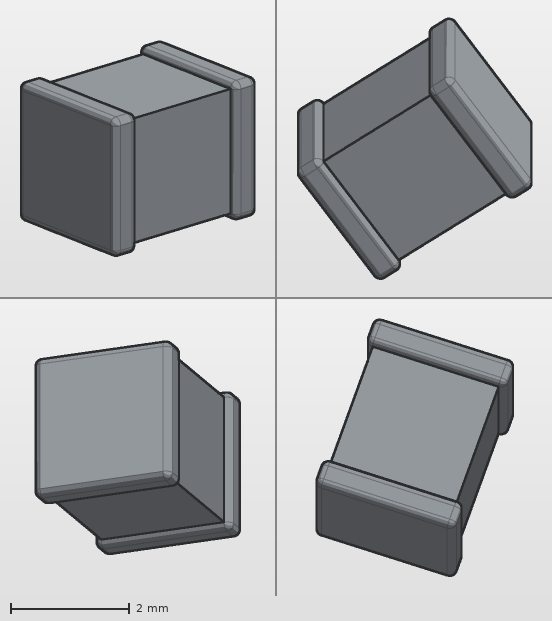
import cadquery as cq

total_length = 3.2
cap_side = 2.5
cap_length = 0.5
edge_radius = 0.125

body_side = cap_side - 2 * edge_radius
body_length = total_length - cap_length
cap_offset = (total_length - cap_length) / 2


def end_cap(y_center):
    """Square terminal cap with every edge rounded."""
    cap = cq.Workplane("XY").box(cap_side, cap_length, cap_side)
    return cap.edges().fillet(edge_radius).translate((0, y_center, 0))


result = cq.Workplane("XY").box(body_side, body_length, body_side)
for side in (-1, 1):
    result = result.union(end_cap(side * cap_offset))